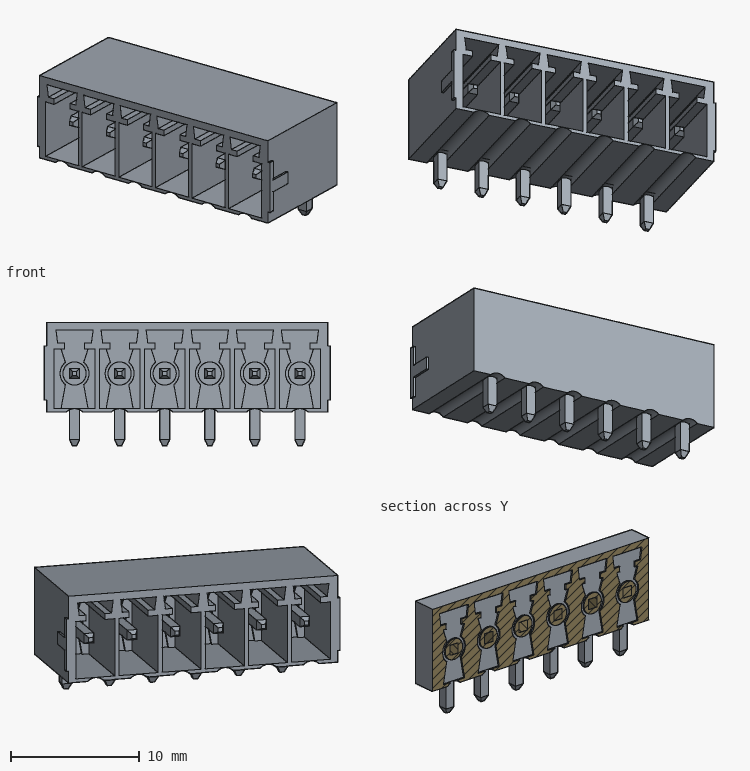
import cadquery as cq


POLE_COUNT = 6
ROW_LENGTH = 17.5
PITCH = ROW_LENGTH / (POLE_COUNT - 1)

OVERALL_WIDTH = 22.2
KEY_THICKNESS = 0.18
BODY_WIDTH = OVERALL_WIDTH - 2 * KEY_THICKNESS
BODY_DEPTH = 9.2
BODY_HEIGHT = 6.97
OVERALL_HEIGHT = 9.6

KEY_CENTER_Z = 3.05
KEY_BAR_HEIGHT = 4.22
KEY_BAR_DEPTH = 0.47
KEY_STEM_HEIGHT = 1.0
KEY_STEM_DEPTH = 2.42

CAVITY_WIDTH = 3.15
CAVITY_BOTTOM = 0.29
CAVITY_TOP = 4.88
CAVITY_DEPTH = 7.0

NECK_WIDTH = 1.53
LEDGE_THICKNESS = 0.47
LEDGE_TOP = CAVITY_TOP + LEDGE_THICKNESS
SLOT_TOP = 6.37
SLOT_BOTTOM_WIDTH = 2.62
SLOT_TOP_WIDTH = 2.89

RECESS_DEPTH = 0.22
RECESS_END_WIDTH = 2.09
WAIST_WIDTH = 1.42
WAIST_HALF_HEIGHT = 0.87
SEAT_DIAMETER = 2.25
BOSS_DIAMETER = 1.8

GROOVE_DIAMETER = 1.8
GROOVE_HEIGHT = 0.27

PIN_SIZE = 0.8
PIN_TIP_SIZE = 0.33
PIN_TAPER = 0.49
PIN_AXIS_Z = 3.0
PIN_FRONT_GAP = 1.25
LEG_TO_BACK = 1.2
LEG_DROP = OVERALL_HEIGHT - BODY_HEIGHT

LEG_Y = BODY_DEPTH - LEG_TO_BACK
SLOT_DEPTH = CAVITY_DEPTH + RECESS_DEPTH
POLE_POSITIONS = [(i - (POLE_COUNT - 1) / 2) * PITCH for i in range(POLE_COUNT)]


def front_plane(y):
    """Workplane facing the front, with local axes X and Z."""
    return cq.Workplane(cq.Plane(origin=(0, y, 0), xDir=(1, 0, 0), normal=(0, -1, 0)))


def centered_block(width, y_min, y_max, z_min, z_max):
    """Box centered on X = 0, with given limits along Y and Z."""
    box = cq.Workplane("XY").box(width, y_max - y_min, z_max - z_min, centered=(True, False, False))
    return box.translate((0, y_min, z_min))


def side_keys():
    """T-shaped raised key on both ends, built as one bar and one stem across the housing."""
    bar = centered_block(
        OVERALL_WIDTH, 0, KEY_BAR_DEPTH,
        KEY_CENTER_Z - KEY_BAR_HEIGHT / 2, KEY_CENTER_Z + KEY_BAR_HEIGHT / 2,
    )
    stem = centered_block(
        OVERALL_WIDTH, 0, KEY_STEM_DEPTH,
        KEY_CENTER_Z - KEY_STEM_HEIGHT / 2, KEY_CENTER_Z + KEY_STEM_HEIGHT / 2,
    )
    return bar.union(stem)


def latch_slot():
    """Neck and flared slot above the plug cavity."""
    neck = centered_block(NECK_WIDTH, 0, SLOT_DEPTH, CAVITY_TOP, LEDGE_TOP)
    flare = (
        front_plane(SLOT_DEPTH)
        .polyline([
            (-SLOT_BOTTOM_WIDTH / 2, LEDGE_TOP),
            (SLOT_BOTTOM_WIDTH / 2, LEDGE_TOP),
            (SLOT_TOP_WIDTH / 2, SLOT_TOP),
            (-SLOT_TOP_WIDTH / 2, SLOT_TOP),
        ])
        .close()
        .extrude(SLOT_DEPTH)
    )
    return neck.union(flare)


def floor_recess():
    """Waisted recess with a ring-shaped seat left around the pin boss."""
    half_end = RECESS_END_WIDTH / 2
    half_waist = WAIST_WIDTH / 2
    waist_bottom = PIN_AXIS_Z - WAIST_HALF_HEIGHT
    waist_top = PIN_AXIS_Z + WAIST_HALF_HEIGHT
    waisted = (
        front_plane(SLOT_DEPTH)
        .polyline([
            (-half_end, CAVITY_BOTTOM),
            (half_end, CAVITY_BOTTOM),
            (half_waist, waist_bottom),
            (half_waist, waist_top),
            (half_end, CAVITY_TOP),
            (-half_end, CAVITY_TOP),
            (-half_waist, waist_top),
            (-half_waist, waist_bottom),
        ])
        .close()
        .extrude(RECESS_DEPTH)
    )
    seat = front_plane(SLOT_DEPTH).center(0, PIN_AXIS_Z).circle(SEAT_DIAMETER / 2).extrude(RECESS_DEPTH)
    boss = front_plane(SLOT_DEPTH).center(0, PIN_AXIS_Z).circle(BOSS_DIAMETER / 2).extrude(RECESS_DEPTH)
    return waisted.union(seat).cut(boss)


def underside_groove():
    """Round-topped groove running the full depth of the housing."""
    return (
        front_plane(BODY_DEPTH)
        .center(0, GROOVE_HEIGHT - GROOVE_DIAMETER / 2)
        .circle(GROOVE_DIAMETER / 2)
        .extrude(BODY_DEPTH)
    )


def pole_cutter():
    """Everything removed from the housing at one pole, apart from the pin hole."""
    cavity = centered_block(CAVITY_WIDTH, 0, CAVITY_DEPTH, CAVITY_BOTTOM, CAVITY_TOP)
    return cavity.union(latch_slot()).union(floor_recess()).union(underside_groove())


def tapered_tip(plane):
    """Four-sided tip that narrows along the normal of the given workplane."""
    return (
        plane.rect(PIN_SIZE, PIN_SIZE)
        .workplane(offset=PIN_TAPER)
        .rect(PIN_TIP_SIZE, PIN_TIP_SIZE)
        .loft(combine=True)
    )


def make_pin(x):
    """Right-angled square pin with a contact arm and a solder leg, both tapered at the end."""
    half = PIN_SIZE / 2
    arm_start = PIN_FRONT_GAP + PIN_TAPER
    leg_end = PIN_TAPER - LEG_DROP
    arm = centered_block(PIN_SIZE, arm_start, LEG_Y + half, PIN_AXIS_Z - half, PIN_AXIS_Z + half)
    leg = centered_block(PIN_SIZE, LEG_Y - half, LEG_Y + half, leg_end, PIN_AXIS_Z + half)
    contact_tip = tapered_tip(front_plane(arm_start).center(0, PIN_AXIS_Z))
    leg_plane = cq.Plane(origin=(0, LEG_Y, leg_end), xDir=(1, 0, 0), normal=(0, 0, -1))
    leg_tip = tapered_tip(cq.Workplane(leg_plane))
    pin = arm.union(leg).union(contact_tip).union(leg_tip)
    return pin.translate((x, 0, 0))


def make_housing(pins):
    """Housing block with side keys, pole cavities and a fitting hole for each pin."""
    housing = centered_block(BODY_WIDTH, 0, BODY_DEPTH, 0, BODY_HEIGHT).union(side_keys())
    cutter = pole_cutter()
    for x, pin in zip(POLE_POSITIONS, pins):
        housing = housing.cut(cutter.translate((x, 0, 0))).cut(pin)
    return housing


contact_pins = [make_pin(x) for x in POLE_POSITIONS]
housing = make_housing(contact_pins)

result = cq.Compound.makeCompound([housing.val(), *[pin.val() for pin in contact_pins]])